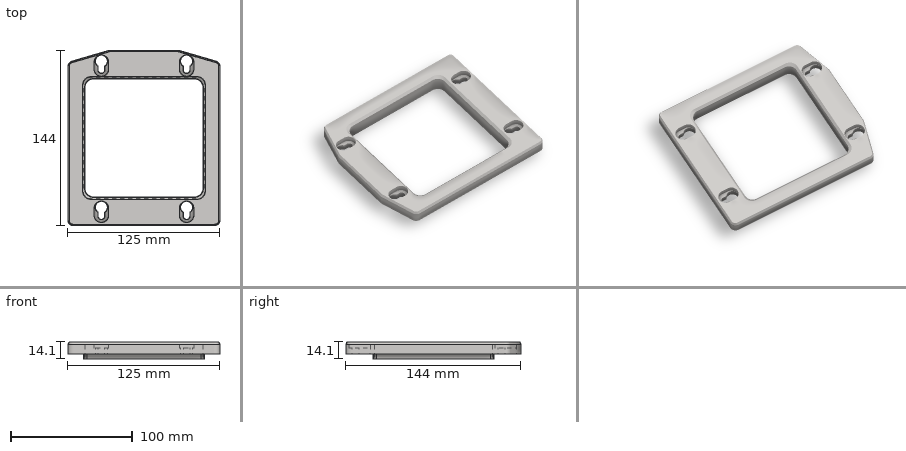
import cadquery as cq
import math

plate_width = 125.0
plate_length = 144.0
plate_thickness = 10.1
corner_radius = 4.9
rim_corner_radius = 3.0
crown_width = 56.7
crown_drop = 10.0
rim_inset = 1.2
rim_height = 2.0

opening_side = 97.0
opening_radius = 7.0
mouth_inset = 1.9
mouth_height = 2.0

lip_wall = 1.0
lip_height = 4.0
lip_corner_cut = 2.9
lip_side = opening_side + 2 * lip_wall

keyhole_x = 35.0
keyhole_pitch_y = 119.9
upper_keyhole_y = 63.0
head_diameter = 10.0
neck_width = 5.5
neck_drop = 7.2
recess_width = 12.0
recess_depth = 4.9
recess_top_drop = 1.0
recess_bottom_drop = 6.5


def plate_outline(inset):
    """Closed outline of the plate, moved inwards by inset, with square corners."""
    half_width = plate_width / 2 - inset
    half_length = plate_length / 2 - inset
    shoulder_angle = math.atan2(crown_drop, (plate_width - crown_width) / 2)
    half_crown = crown_width / 2 - inset * math.tan(shoulder_angle / 2)
    shoulder_y = half_length - (half_width - half_crown) * math.tan(shoulder_angle)
    return [
        (-half_width, -half_length),
        (half_width, -half_length),
        (half_width, shoulder_y),
        (half_crown, half_length),
        (-half_crown, half_length),
        (-half_width, shoulder_y),
    ]


def rounded_plate(inset, radius, height):
    """Prism of the plate outline with the four outer corners rounded."""
    prism = cq.Workplane("XY").polyline(plate_outline(inset)).close().extrude(height)
    return prism.edges("|Z").edges("<X or >X").fillet(radius)


def bevelled_prism(lower, upper, base_z, height):
    """Ruled solid joining the base outlines of two prisms that have matching edges."""
    lower_wire = lower.faces("<Z").wires().val().moved(cq.Location(cq.Vector(0, 0, base_z)))
    upper_wire = upper.faces("<Z").wires().val().moved(cq.Location(cq.Vector(0, 0, base_z + height)))
    return cq.Workplane(cq.Solid.makeLoft([lower_wire, upper_wire], True))


def make_plate():
    straight_height = plate_thickness - rim_height
    full = rounded_plate(0, corner_radius, straight_height)
    bevel_top = rounded_plate(rim_inset, rim_corner_radius, rim_height)
    rim = bevelled_prism(full, bevel_top, straight_height, rim_height)
    return full.union(rim)


def make_lip():
    lip = cq.Workplane("XY").rect(lip_side, lip_side).extrude(-lip_height)
    return lip.edges("|Z").chamfer(lip_corner_cut)


def rounded_square(side, height):
    """Square prism with the opening's corner radius."""
    return cq.Workplane("XY").rect(side, side).extrude(height).edges("|Z").fillet(opening_radius)


def make_opening():
    bore = rounded_square(opening_side, plate_thickness + lip_height)
    mouth_side = opening_side + 2 * mouth_inset
    mouth = bevelled_prism(
        rounded_square(opening_side, mouth_height),
        rounded_square(mouth_side, mouth_height),
        plate_thickness - mouth_height,
        mouth_height,
    )
    return bore.translate((0, 0, -lip_height)).union(mouth)


def slot(width, upper_y, lower_y, height):
    """Upright round-ended slot between two end-arc centres."""
    length = upper_y - lower_y + width
    middle_y = (upper_y + lower_y) / 2
    return cq.Workplane("XY").center(0, middle_y).slot2D(length, width, 90).extrude(height)


def make_keyhole():
    """Keyhole cutter with the head centre on the Z axis."""
    head = cq.Workplane("XY").circle(head_diameter / 2).extrude(plate_thickness)
    neck = slot(neck_width, 0, -neck_drop, plate_thickness)
    recess = slot(recess_width, -recess_top_drop, -recess_bottom_drop, recess_depth)
    return head.union(neck).union(recess.translate((0, 0, plate_thickness - recess_depth)))


result = make_plate().union(make_lip()).cut(make_opening())
keyhole = make_keyhole()
for x in (-keyhole_x, keyhole_x):
    for y in (upper_keyhole_y, upper_keyhole_y - keyhole_pitch_y):
        result = result.cut(keyhole.translate((x, y, 0)))